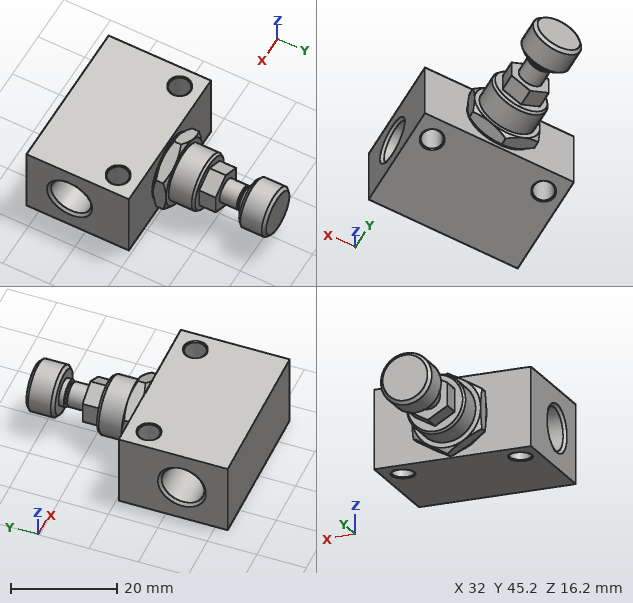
import cadquery as cq
import math

body_width = 32.0
body_length = 22.0
body_height = 16.0

mount_diameter = 4.3
mount_rim_diameter = 4.75
mount_spacing = 23.95
mount_y = body_length - 4.5

port_diameter = 8.6
port_rim_diameter = 9.7
port_depth = 9.95
port_y = 9.25

washer_end = body_length + 0.25
nut_end = 25.05
collar_end = 30.5
hex_end = 34.05
stem_end = 37.92
neck_end = 38.35
flange_end = 39.35
knob_end = 45.2

nut_across_flats = 14.0
nut_bevel_angle = 30.0
collar_diameter = 12.0
collar_chamfer_length = 0.55
collar_chamfer_depth = 0.35
hex_across_flats = 8.0
stem_diameter = 5.0
stem_chamfer = 0.23
neck_diameter = 4.3
flange_diameter = 5.5
knob_diameter = 10.4
knob_chamfer = 0.65


def xz_plane_at(y):
    """Work plane whose normal points along +Y."""
    return cq.Workplane(cq.Plane(origin=(0, y, 0), xDir=(1, 0, 0), normal=(0, 1, 0)))


def disc(start, end, diameter):
    return xz_plane_at(start).circle(diameter / 2).extrude(end - start)


def hexagon(start, end, across_flats):
    """Hexagonal prism along Y with corners at the top and bottom."""
    corner_diameter = across_flats / math.cos(math.pi / 6)
    prism = xz_plane_at(start).polygon(6, corner_diameter).extrude(end - start)
    return prism.rotate((0, 0, 0), (0, 1, 0), 90)


def revolve_about_y(points):
    """Solid of revolution from (radius, y) points."""
    return cq.Workplane("XY").polyline(points).close().revolve(360, (0, 0), (0, 1))


def make_nut():
    """Hex nut whose corners are bevelled at both ends."""
    flat_radius = nut_across_flats / 2
    corner_radius = flat_radius / math.cos(math.pi / 6)
    bevel = (corner_radius - flat_radius) * math.tan(math.radians(nut_bevel_angle))
    envelope = revolve_about_y([
        (0, washer_end),
        (flat_radius, washer_end),
        (corner_radius, washer_end + bevel),
        (corner_radius, nut_end - bevel),
        (flat_radius, nut_end),
        (0, nut_end),
    ])
    return hexagon(washer_end, nut_end, nut_across_flats).intersect(envelope)


def make_screw():
    washer = disc(body_length, washer_end, nut_across_flats)
    collar = disc(nut_end, collar_end, collar_diameter)
    collar = collar.faces(">Y").chamfer(collar_chamfer_length, collar_chamfer_depth)
    hex_head = hexagon(collar_end, hex_end, hex_across_flats)
    stem = disc(hex_end, stem_end, stem_diameter).faces(">Y").chamfer(stem_chamfer)
    neck = disc(stem_end, neck_end, neck_diameter)
    flange = disc(neck_end, flange_end, flange_diameter)
    knob = disc(flange_end, knob_end, knob_diameter).faces("<Y or >Y").chamfer(knob_chamfer)

    screw = washer
    for section in (make_nut(), collar, hex_head, stem, neck, flange, knob):
        screw = screw.union(section)
    return screw


def drill(diameter, rim_diameter, depth):
    """Cutter along +Z from the origin, with a 45 degree countersink at its start."""
    radius = diameter / 2
    rim_radius = rim_diameter / 2
    profile = [(0, 0), (rim_radius, 0), (radius, rim_radius - radius), (radius, depth), (0, depth)]
    return cq.Workplane("XZ").polyline(profile).close().revolve(360, (0, 0), (0, 1))


def make_body():
    body = cq.Workplane("XY").box(body_width, body_length, body_height, centered=(True, False, True))
    mount_cutter = drill(mount_diameter, mount_rim_diameter, body_height / 2)
    port_cutter = drill(port_diameter, port_rim_diameter, port_depth)
    for side in (-1, 1):
        for turn, face_z in ((0, -body_height / 2), (180, body_height / 2)):
            cutter = mount_cutter.rotate((0, 0, 0), (1, 0, 0), turn)
            body = body.cut(cutter.translate((side * mount_spacing / 2, mount_y, face_z)))
        port = port_cutter.rotate((0, 0, 0), (0, 1, 0), -side * 90)
        body = body.cut(port.translate((side * body_width / 2, port_y, 0)))
    return body


result = make_body().union(make_screw())